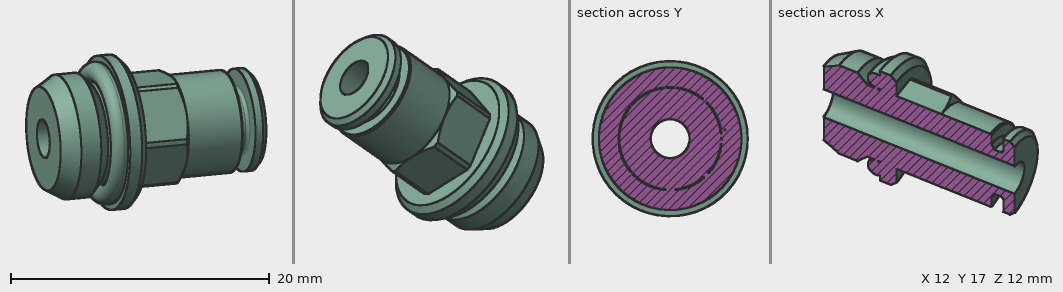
import cadquery as cq
import math


bore_diameter = 3.0
thread_diameter = 9.7
thread_tip_diameter = 8.08
undercut_diameter = 7.9
flange_diameter = 12.0
seal_ring_diameter = 11.1
body_diameter = 8.0
hex_corner_diameter = 9.01
sleeve_neck_diameter = 4.9
sleeve_seat_diameter = 5.78

tip_chamfer_end = 1.41
thread_end = 3.05
undercut_start = 3.91
flange_start = 5.02
flange_end = 6.5
body_start = 10.5
body_end = 14.96
seat_end = 15.22
button_start = 15.96
overall_length = 17.0

flange_chamfer = 0.51
body_chamfer = 0.1
button_chamfer = 0.4
neck_fillet = 0.25

hex_across_flats = body_diameter
hex_chamfer_length = 0.32


def revolve_profile(profile):
    """Turn a (radius, Y) profile a full revolution about the Y axis."""
    return profile.close().revolve(360, (0, 0, 0), (0, 1, 0))


def make_threaded_end():
    """Thread envelope, tapered undercut and chamfered flange."""
    flange_radius = flange_diameter / 2
    return revolve_profile(
        cq.Workplane("XY")
        .lineTo(thread_tip_diameter / 2, 0)
        .lineTo(thread_diameter / 2, tip_chamfer_end)
        .lineTo(thread_diameter / 2, thread_end)
        .lineTo(undercut_diameter / 2, undercut_start)
        .lineTo(undercut_diameter / 2, flange_start)
        .lineTo(flange_radius, flange_start)
        .lineTo(flange_radius, flange_end - flange_chamfer)
        .lineTo(flange_radius - flange_chamfer, flange_end)
        .lineTo(0, flange_end)
    )


def make_seal_ring():
    """Round-section seal ring in the undercut, pressed partly into the flange."""
    outer_radius = seal_ring_diameter / 2
    inner_radius = undercut_diameter / 2
    section_radius = (outer_radius - inner_radius) / 2
    ring_radius = (outer_radius + inner_radius) / 2
    section_center_y = undercut_start + section_radius
    return (
        cq.Workplane("XY")
        .center(ring_radius, section_center_y)
        .circle(section_radius)
        .revolve(360, (-ring_radius, 0, 0), (-ring_radius, 1, 0))
    )


def make_hexagon():
    """Hexagon with flats facing +Z and -Z, corners turned down and chamfered."""
    length = body_start - flange_end
    prism = (
        cq.Workplane("XZ", origin=(0, flange_end, 0))
        .polygon(6, hex_across_flats / math.cos(math.pi / 6))
        .extrude(-length)
    )
    corner_radius = hex_corner_diameter / 2
    corner_envelope = revolve_profile(
        cq.Workplane("XY")
        .moveTo(0, flange_end)
        .lineTo(corner_radius, flange_end)
        .lineTo(corner_radius, body_start - hex_chamfer_length)
        .lineTo(body_diameter / 2, body_start)
        .lineTo(0, body_start)
    )
    return prism.intersect(corner_envelope)


def make_body_and_release_sleeve():
    """Round body followed by the necked release sleeve and its button."""
    body_radius = body_diameter / 2
    neck_radius = sleeve_neck_diameter / 2
    fillet_offset = neck_fillet * (1 - math.sqrt(0.5))
    return revolve_profile(
        cq.Workplane("XY")
        .moveTo(0, body_start)
        .lineTo(body_radius, body_start)
        .lineTo(body_radius, body_end - body_chamfer)
        .lineTo(body_radius - body_chamfer, body_end)
        .lineTo(sleeve_seat_diameter / 2, body_end)
        .lineTo(neck_radius, seat_end)
        .lineTo(neck_radius, button_start - neck_fillet)
        .threePointArc(
            (neck_radius + fillet_offset, button_start - fillet_offset),
            (neck_radius + neck_fillet, button_start),
        )
        .lineTo(body_radius, button_start)
        .lineTo(body_radius, overall_length - button_chamfer)
        .lineTo(body_radius - button_chamfer, overall_length)
        .lineTo(0, overall_length)
    )


bore = cq.Workplane("XZ").circle(bore_diameter / 2).extrude(-overall_length)

result = (
    make_threaded_end()
    .union(make_seal_ring())
    .union(make_hexagon())
    .union(make_body_and_release_sleeve())
    .cut(bore)
)